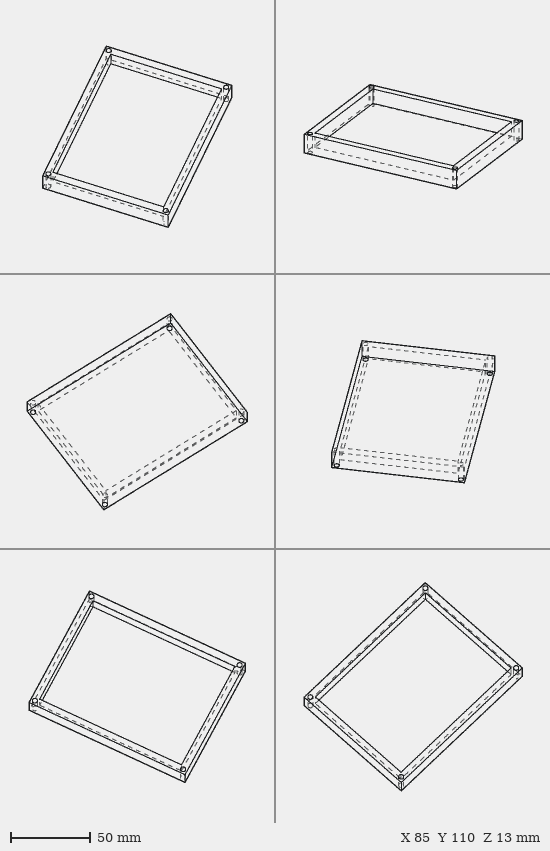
import cadquery as cq

length_x = 85.05
length_y = 110.05
height = 13.0

wall = 5.0
floor_thickness = 3.0

hole_diameter = 3.2
hole_edge_distance = 2.75


def tray_body():
    """Solid block with its base on Z = 0, centred in X and Y."""
    return cq.Workplane("XY").box(length_x, length_y, height, centered=(True, True, False))


def pocket():
    """Rectangular cavity that leaves the walls and the floor."""
    return (
        cq.Workplane("XY")
        .workplane(offset=floor_thickness)
        .rect(length_x - 2 * wall, length_y - 2 * wall)
        .extrude(height - floor_thickness)
    )


def corner_holes():
    """Four through holes, one in each corner of the rim."""
    return (
        cq.Workplane("XY")
        .rect(
            length_x - 2 * hole_edge_distance,
            length_y - 2 * hole_edge_distance,
            forConstruction=True,
        )
        .vertices()
        .circle(hole_diameter / 2)
        .extrude(height)
    )


result = tray_body().cut(pocket()).cut(corner_holes())